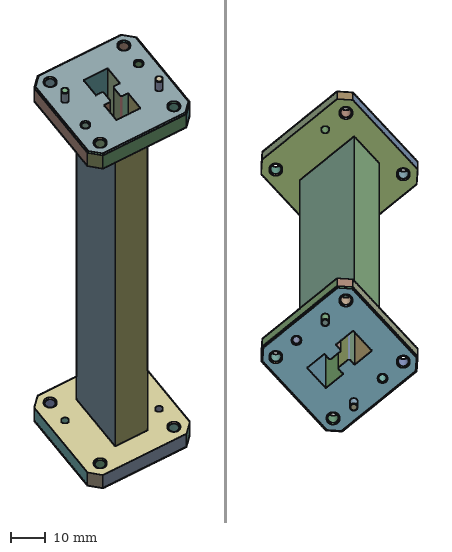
import cadquery as cq

total_length = 161.0
flange_side = 35.0
flange_thickness = 6.5
corner_cut = 3.2
rim_chamfer = 0.4

pin_projection = 4.3
pin_diameter = 2.3
pin_tip_chamfer = 0.2
pin_hole_chamfer = 0.3
pin_x = 5.5

screw_hole_diameter = 3.0
screw_hole_chamfer = 0.4
screw_x = 13.4
row_y = 12.5

tube_width = 20.8
tube_height = 11.1
channel_width = 17.5
channel_height = 8.2
ridge_width = 4.3
ridge_gap = 3.4
ridge_edge_radius = 0.5

face_z = total_length / 2 - pin_projection


def make_cylinders(points, diameter, bottom_z, top_z):
    """Upright cylinders at the given points, between two heights."""
    return (
        cq.Workplane("XY")
        .workplane(offset=bottom_z)
        .pushPoints(points)
        .circle(diameter / 2)
        .extrude(top_z - bottom_z)
    )


def make_flange():
    """Upper flange, with its pins on one diagonal and mating holes on the other."""
    inner_z = face_z - flange_thickness
    pin_points = [(pin_x, row_y), (-pin_x, -row_y)]
    pin_hole_points = [(-pin_x, row_y), (pin_x, -row_y)]
    screw_points = [(x, y) for x in (-screw_x, screw_x) for y in (-row_y, row_y)]

    plate = (
        cq.Workplane("XY")
        .workplane(offset=inner_z)
        .rect(flange_side, flange_side)
        .extrude(flange_thickness)
        .edges("|Z")
        .chamfer(corner_cut)
        .faces(">Z")
        .chamfer(rim_chamfer)
    )
    plate = plate.cut(make_cylinders(screw_points, screw_hole_diameter, inner_z, face_z))
    plate = plate.edges("%CIRCLE").chamfer(screw_hole_chamfer)
    plate = plate.cut(make_cylinders(pin_hole_points, pin_diameter, inner_z, face_z))
    smallest_circles = cq.selectors.RadiusNthSelector(0)
    plate = plate.faces(">Z").edges(smallest_circles).chamfer(pin_hole_chamfer)

    pins = make_cylinders(pin_points, pin_diameter, inner_z, face_z + pin_projection)
    pins = pins.faces(">Z").chamfer(pin_tip_chamfer)
    return plate.union(pins)


def make_channel():
    """Rectangular channel through the whole length, narrowed by two facing ridges."""
    length = 2 * face_z
    ridge_height = (channel_height - ridge_gap) / 2
    ridge_y = (ridge_gap + ridge_height) / 2
    channel = cq.Workplane("XY").box(channel_width, channel_height, length)
    ridges = (
        cq.Workplane("XY")
        .pushPoints([(0, ridge_y), (0, -ridge_y)])
        .box(ridge_width, ridge_height, length)
    )
    channel = channel.cut(ridges)
    ridge_edges = cq.selectors.BoxSelector(
        (-ridge_width, -ridge_gap, -length),
        (ridge_width, ridge_gap, length),
    )
    return channel.edges("|Z").edges(ridge_edges).fillet(ridge_edge_radius)


tube = cq.Workplane("XY").box(tube_width, tube_height, 2 * (face_z - flange_thickness))
upper_flange = make_flange()
lower_flange = upper_flange.rotate((0, 0, 0), (1, 0, 0), 180)

result = tube.union(upper_flange).union(lower_flange).cut(make_channel())